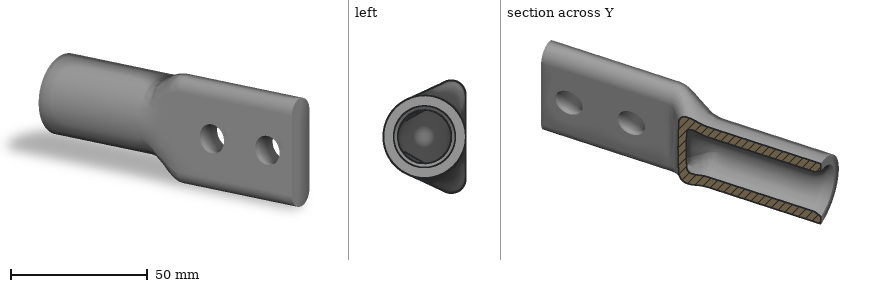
import cadquery as cq
import math


total_length = 115.8
barrel_length = 45.9
barrel_diameter = 30.2
wall = 5.3
transition_length = 17.7
pad_width = 41.3
hole_diameter = 11.1
first_hole_x = 79.2
hole_pitch = 25.4
hole_count = 2
countersink_diameter = 22.6
countersink_depth = 2.5
seam_angle = math.radians(60)
slit_radius = 0.02
section_count = 7

barrel_radius = barrel_diameter / 2
bore_radius = barrel_radius - wall
pad_start = barrel_length + transition_length
pad_length = total_length - pad_start
pad_thickness = 2 * wall
pad_center_y = wall - barrel_radius
pad_round_offset = pad_width / 2 - wall


def rounded_end_point(radius, round_offset, angle):
    """YZ point on a rounded end centered at round_offset along Z; angle is measured from +Z toward +Y."""
    return radius * math.sin(angle), round_offset + radius * math.cos(angle)


def blend(start, end, fraction):
    return tuple(a + (b - a) * fraction for a, b in zip(start, end))


def mirrored(point):
    y, z = point
    return y, -z


def transition_section(start_radius, end_radius, fraction):
    """Closed YZ wire between a circle (fraction 0) and a flat slot (fraction 1)."""
    slot_center_y = end_radius - start_radius
    end_points = []
    for side in (-1, 0, 1):
        on_circle = rounded_end_point(start_radius, 0, side * seam_angle)
        slot_y, slot_z = rounded_end_point(end_radius, pad_round_offset, side * math.pi / 2)
        end_points.append(blend(on_circle, (slot_y + slot_center_y, slot_z), fraction))
    lower, tip, upper = end_points

    outline = cq.Workplane("YZ").moveTo(*lower).threePointArc(tip, upper)
    if fraction == 1:
        outline = outline.lineTo(*mirrored(upper)).threePointArc(mirrored(tip), mirrored(lower))
        return outline.close().val()

    upper_middle = blend((start_radius, 0), (slot_center_y + end_radius, 0), fraction)
    lower_middle = (-start_radius, 0)
    outline = outline.threePointArc(upper_middle, mirrored(upper))
    outline = outline.threePointArc(mirrored(tip), mirrored(lower)).threePointArc(lower_middle, lower)
    return outline.wire().val()


def transition(start_radius, end_radius):
    """Loft from round to flat, easing in and out along an S-curve."""
    sections = []
    for index in range(section_count):
        along = index / (section_count - 1)
        eased = along**2 * (3 - 2 * along)
        section = transition_section(start_radius, end_radius, eased)
        sections.append(section.translate(cq.Vector(barrel_length + along * transition_length, 0, 0)))
    return cq.Workplane(cq.Solid.makeLoft(sections))


def barrel():
    return cq.Workplane("YZ").circle(barrel_radius).circle(bore_radius).extrude(barrel_length)


def pad():
    return (
        cq.Workplane("YZ", origin=(pad_start, pad_center_y, 0))
        .slot2D(pad_width, pad_thickness, 90)
        .extrude(pad_length)
    )


def bore_countersink():
    cone = cq.Solid.makeCone(
        countersink_diameter / 2, bore_radius, countersink_depth, dir=cq.Vector(1, 0, 0)
    )
    return cq.Workplane(cone)


def pad_holes():
    return (
        cq.Workplane("XZ", origin=(0, barrel_radius, 0))
        .pushPoints([(first_hole_x + i * hole_pitch, 0) for i in range(hole_count)])
        .circle(hole_diameter / 2)
        .extrude(barrel_diameter)
    )


hollow_transition = transition(barrel_radius, wall).cut(transition(bore_radius, slit_radius))
lug = barrel().union(hollow_transition).union(pad())
result = lug.cut(bore_countersink()).cut(pad_holes())